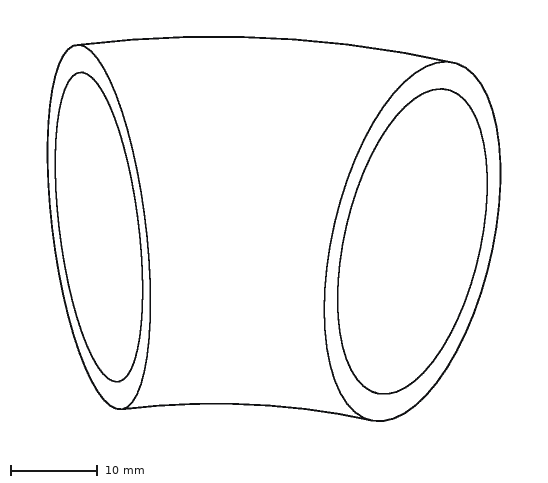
import cadquery as cq
import math

overall_width = 50.1
outer_diameter = 42.4
wall_thickness = 3.2
bend_angle = 45.0

outer_radius = outer_diameter / 2
inner_radius = outer_radius - wall_thickness

bend_cosine = math.cos(math.radians(bend_angle))
bend_radius = (overall_width - outer_radius * (1 + bend_cosine)) / (1 - bend_cosine)

pipe_section = cq.Workplane("XZ").circle(outer_radius).circle(inner_radius)
axis_start = (bend_radius, 0, 0)
axis_end = (bend_radius, -1, 0)
result = pipe_section.revolve(bend_angle, axis_start, axis_end)